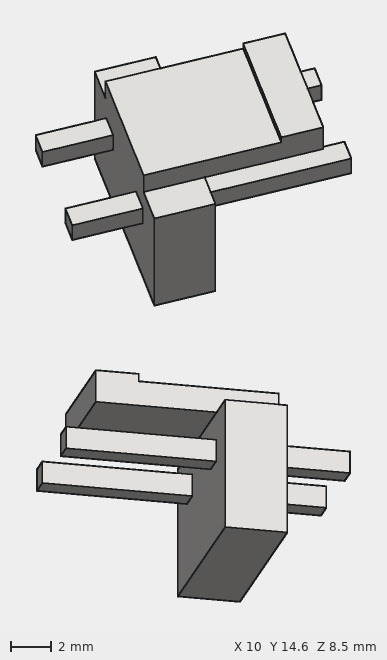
import cadquery as cq

body_width = 10.0
body_depth = 3.2
body_height = 6.8

arm_width = 6.4
arm_length = 9.4
arm_top = 8.1
lip_length = 2.2
lip_top = 8.5

pin_length = 14.6
pin_size = 1.15
pin_pitch = 5.0
pin_height = 4.8
pin_front_length = 3.7


def make_body():
    """Plain rectangular block that holds the pins."""
    return cq.Workplane("XY").box(body_width, body_depth, body_height, centered=(True, False, False))


def make_arm():
    """Arm reaching back from the body front, with a raised lip at its free end."""
    lip_start = arm_length - lip_length
    profile = [
        (0, body_height),
        (arm_length, body_height),
        (arm_length, lip_top),
        (lip_start, lip_top),
        (lip_start, arm_top),
        (0, arm_top),
    ]
    return cq.Workplane("YZ").polyline(profile).close().extrude(arm_width / 2, both=True)


def make_pin(x):
    """Square pin passing through the body at the given X."""
    pin = cq.Workplane("XY").box(pin_size, pin_length, pin_size, centered=(True, False, True))
    return pin.translate((x, -pin_front_length, pin_height))


result = make_body().union(make_arm())
for side in (-1, 1):
    result = result.union(make_pin(side * pin_pitch / 2))